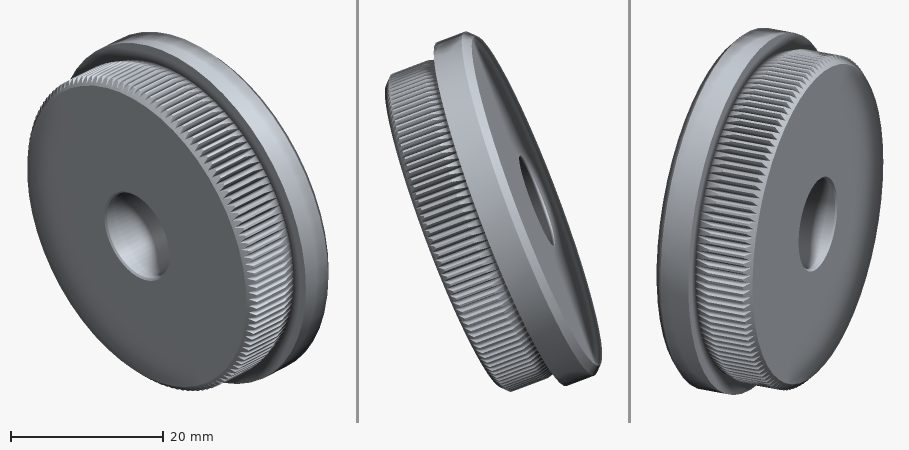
import cadquery as cq
import math

flange_radius = 24.15
total_length = 13.0
flange_length = 4.97
flange_chamfer = 1.0
shoulder_y = total_length - flange_length

crest_radius = 22.3
root_radius = 21.6
tooth_count = 130
crest_share = 0.28
front_chamfer = 0.95
neck_radius = 21.75
neck_length = 2.05

bore_radius = 6.1
bore_chamfer = 0.25


def turned_blank():
    """Flange and body as one profile revolved about the Y axis."""
    profile = [
        (0, 0),
        (crest_radius - front_chamfer, 0),
        (crest_radius, front_chamfer),
        (crest_radius, shoulder_y - neck_length),
        (neck_radius, shoulder_y),
        (flange_radius, shoulder_y),
        (flange_radius, total_length - flange_chamfer),
        (flange_radius - flange_chamfer, total_length),
        (0, total_length),
    ]
    return cq.Workplane("XY").polyline(profile).close().revolve(360, (0, 0, 0), (0, 1, 0))


def polar(radius, angle):
    """Point in the XZ plane at the given angle from +X."""
    return (radius * math.cos(angle), radius * math.sin(angle))


def serrated_envelope():
    """Toothed prism over the body length; a crest is centred on +X."""
    pitch = 2 * math.pi / tooth_count
    half_crest = crest_share * pitch / 2
    outline = []
    for tooth in range(tooth_count):
        centre = tooth * pitch
        outline.append(polar(crest_radius, centre - half_crest))
        outline.append(polar(crest_radius, centre + half_crest))
        outline.append(polar(root_radius, centre + pitch / 2))
    return cq.Workplane("XZ").polyline(outline).close().extrude(-shoulder_y)


def flange_envelope():
    """Plain cylinder that leaves the flange untouched by the serration."""
    return (
        cq.Workplane("XZ", origin=(0, shoulder_y, 0))
        .circle(flange_radius)
        .extrude(-flange_length)
    )


def bore():
    """Through hole with a small chamfer at both ends."""
    mouth_radius = bore_radius + bore_chamfer
    profile = [
        (0, 0),
        (mouth_radius, 0),
        (bore_radius, bore_chamfer),
        (bore_radius, total_length - bore_chamfer),
        (mouth_radius, total_length),
        (0, total_length),
    ]
    return cq.Workplane("XY").polyline(profile).close().revolve(360, (0, 0, 0), (0, 1, 0))


envelope = serrated_envelope().union(flange_envelope())
result = turned_blank().intersect(envelope).cut(bore())